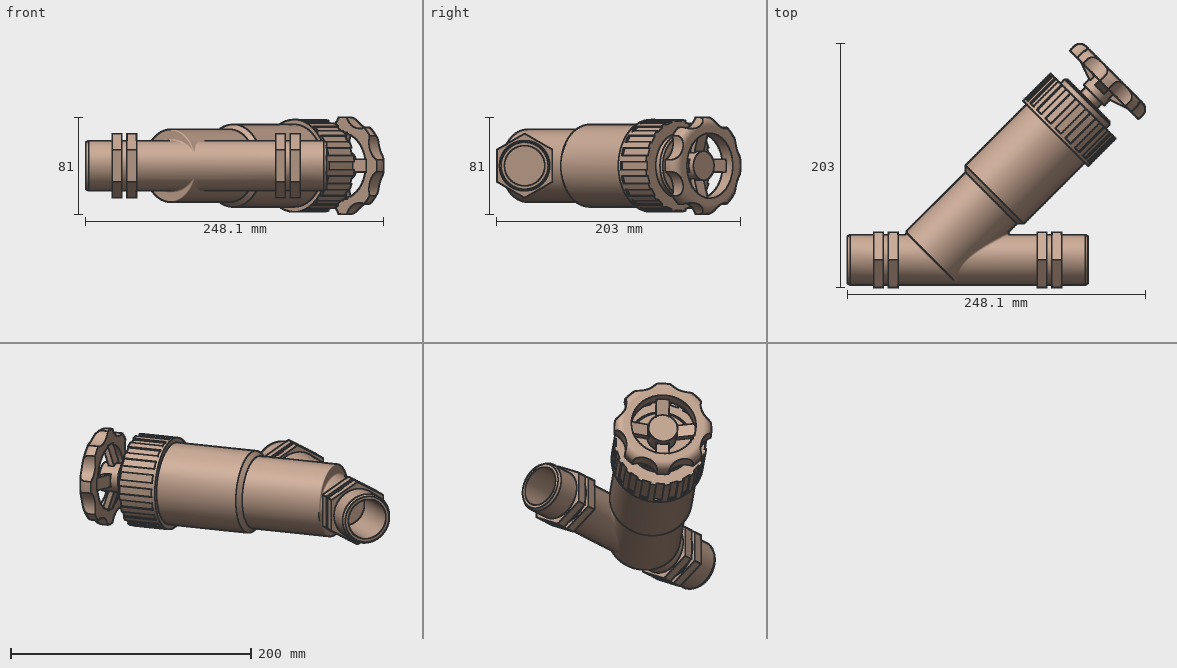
import cadquery as cq
import math


PIPE_LENGTH = 200.5
PIPE_DIA = 41.91
BORE_DIA = 33.53
BORE_DEPTH = 48.6
END_CHAMFER_LENGTH = 2.4
END_CHAMFER_DEPTH = 1.4
HEX_CORNER_DIA = 53.46
HEX_WIDTH = 8.1
HEX_PITCH = 12.15
HEX_PAIR_CENTER = 68.0

BRANCH_ANGLE = 45.0
BRANCH_X = -32.0
BODY_DIA = 60.75
BODY_START = 2.6
BODY_RIM_ROUNDING = 1.0
BLEND_RADIUS = 1.5
SLEEVE_DIA = 68.85
SLEEVE_START = 76.95
SLEEVE_CONE = (SLEEVE_DIA - BODY_DIA) / 2

NUT_DIA = 76.95
NUT_START = 148.7
NUT_LENGTH = 32.4
NUT_END = NUT_START + NUT_LENGTH
NUT_RIM = 3.0
GROOVE_COUNT = 20
GROOVE_WIDTH = 6.7
GROOVE_DEPTH = 1.6

DISC_DIA = 53.46
DISC_END = NUT_END + 6.5
DISC_CHAMFER = 1.6
STEM_DIA = 19.44

HUB_DIA = 24.3
HUB_START = 193.8
WHEEL_DIA = 81.0
WHEEL_START = 205.8
WHEEL_END = 217.95
WHEEL_ROUNDING = 6.9
RIM_INNER_DIA = 54.0
LOBE_COUNT = 8
SCALLOP_DIA = 32.4
SCALLOP_FLOOR_RADIUS = 34.8
SPOKE_COUNT = 4
SPOKE_WIDTH = 10.8
SPOKE_START = 200.4
SPOKE_RIM_RADIUS = 28.0
SPOKE_THICKNESS = 5.0
HUB_END = WHEEL_START + SPOKE_THICKNESS


def disc(diameter, start, end):
    """Cylinder along local Z between two stations."""
    return cq.Workplane("XY").workplane(offset=start).circle(diameter / 2).extrude(end - start)


def on_branch(shape):
    """Move a shape built along local Z onto the branch axis; its local Y becomes the part's Z."""
    branch_plane = cq.Plane(
        origin=(BRANCH_X, 0, 0),
        xDir=(math.sin(math.radians(BRANCH_ANGLE)), -math.cos(math.radians(BRANCH_ANGLE)), 0),
        normal=(math.cos(math.radians(BRANCH_ANGLE)), math.sin(math.radians(BRANCH_ANGLE)), 0),
    )
    return cq.Workplane(obj=shape.val().moved(cq.Location(branch_plane)))


def make_pipe():
    """Solid pipe with tapered ends."""
    half = PIPE_LENGTH / 2
    radius = PIPE_DIA / 2
    profile = [
        (-half, 0),
        (-half, radius - END_CHAMFER_DEPTH),
        (-half + END_CHAMFER_LENGTH, radius),
        (half - END_CHAMFER_LENGTH, radius),
        (half, radius - END_CHAMFER_DEPTH),
        (half, 0),
    ]
    return cq.Workplane("XY").polyline(profile).close().revolve(360, (0, 0, 0), (1, 0, 0))


def make_body():
    """Lower bonnet cylinder with a rounded rim on its closed end."""
    return disc(BODY_DIA, BODY_START, SLEEVE_START).faces("<Z").edges().fillet(BODY_RIM_ROUNDING)


def blend_branch(joined):
    """Fillet the seam where the lower bonnet cylinder meets the pipe."""
    seam = [edge for edge in joined.edges().vals() if edge.geomType() not in ("LINE", "CIRCLE")]
    return joined.newObject(seam).fillet(BLEND_RADIUS)


def make_hex_ring(center_x):
    """Hexagonal ring around the pipe with two corners on the vertical plane."""
    return (
        cq.Workplane("YZ")
        .workplane(offset=center_x - HEX_WIDTH / 2)
        .transformed(rotate=(0, 0, 90))
        .polygon(6, HEX_CORNER_DIA)
        .extrude(HEX_WIDTH)
    )


def make_bore(side):
    """Blind bore entering from the pipe end on the given side."""
    return (
        cq.Workplane("YZ")
        .workplane(offset=side * PIPE_LENGTH / 2)
        .circle(BORE_DIA / 2)
        .extrude(-side * BORE_DEPTH)
    )


def make_sleeve():
    """Upper bonnet cylinder with a conical step down to the lower one."""
    cone_start = SLEEVE_START - SLEEVE_CONE
    profile = [
        (0, cone_start),
        (BODY_DIA / 2, cone_start),
        (SLEEVE_DIA / 2, SLEEVE_START),
        (SLEEVE_DIA / 2, NUT_START),
        (0, NUT_START),
    ]
    return cq.Workplane("XZ").polyline(profile).close().revolve(360, (0, 0, 0), (0, 1, 0))


def make_nut():
    """Union nut with grip grooves that stop short of its lower rim."""
    nut = disc(NUT_DIA, NUT_START, NUT_END)
    groove_length = NUT_LENGTH - NUT_RIM
    groove = cq.Workplane("XY").box(
        2 * GROOVE_DEPTH, GROOVE_WIDTH, groove_length, centered=(True, True, False)
    ).translate((NUT_DIA / 2, 0, NUT_START + NUT_RIM))
    for index in range(GROOVE_COUNT):
        nut = nut.cut(groove.rotate((0, 0, 0), (0, 0, 1), index * 360 / GROOVE_COUNT))
    return nut


def make_gland_and_stem():
    """Gland disc closing the nut, with the stem rising from it into the hub."""
    gland = disc(DISC_DIA, NUT_END, DISC_END).faces(">Z").chamfer(DISC_CHAMFER)
    return gland.union(disc(STEM_DIA, NUT_END, WHEEL_START))


def make_rim():
    """Handwheel rim with a rounded top edge and scallops between its lobes."""
    rim = disc(WHEEL_DIA, WHEEL_START, WHEEL_END).faces(">Z").edges().fillet(WHEEL_ROUNDING)
    rim = rim.cut(disc(RIM_INNER_DIA, WHEEL_START, WHEEL_END))
    scallop = disc(SCALLOP_DIA, WHEEL_START, WHEEL_END).translate(
        (SCALLOP_FLOOR_RADIUS + SCALLOP_DIA / 2, 0, 0)
    )
    for index in range(LOBE_COUNT):
        angle = (index + 0.5) * 360 / LOBE_COUNT
        rim = rim.cut(scallop.rotate((0, 0, 0), (0, 0, 1), angle))
    return rim


def make_spoke():
    """Spoke of even thickness that slopes from the hub up to the rim."""
    hub_radius = HUB_DIA / 2
    profile = [
        (0, SPOKE_START),
        (hub_radius, SPOKE_START),
        (SPOKE_RIM_RADIUS, WHEEL_START),
        (SPOKE_RIM_RADIUS, HUB_END),
        (hub_radius, SPOKE_START + SPOKE_THICKNESS),
        (0, SPOKE_START + SPOKE_THICKNESS),
    ]
    return cq.Workplane("XZ").polyline(profile).close().extrude(SPOKE_WIDTH / 2, both=True)


def make_handwheel():
    """Hub, spokes and rim of the handwheel."""
    wheel = make_rim().union(disc(HUB_DIA, HUB_START, HUB_END))
    for index in range(SPOKE_COUNT):
        wheel = wheel.union(make_spoke().rotate((0, 0, 0), (0, 0, 1), index * 360 / SPOKE_COUNT))
    return wheel


result = blend_branch(make_pipe().union(on_branch(make_body())))
for upper_part in (make_sleeve(), make_nut(), make_gland_and_stem(), make_handwheel()):
    result = result.union(on_branch(upper_part))
for side in (-1, 1):
    for offset in (-HEX_PITCH / 2, HEX_PITCH / 2):
        result = result.union(make_hex_ring(side * HEX_PAIR_CENTER + offset))
    result = result.cut(make_bore(side))